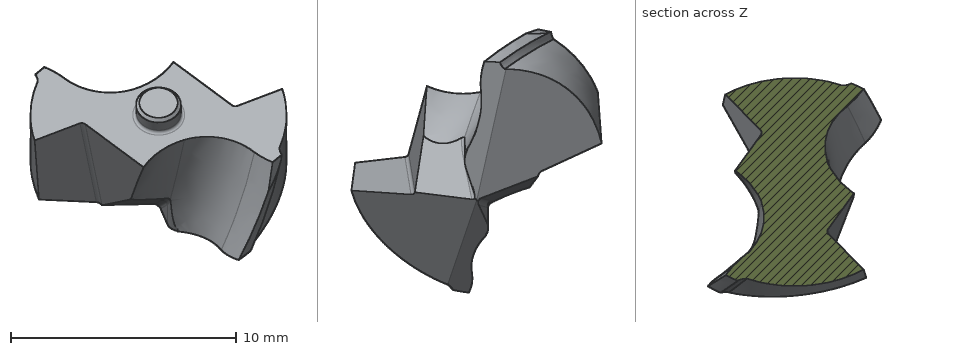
import cadquery as cq
import math


land_radius = 5.95
body_radius = 5.69
head_height = 6.38
land_helix_angle = 30.0
flute_helix_angle = 30.9
reach = 20.0

pin_radius = 1.0
pin_height = 0.84
pin_edge = 0.15

flute_back_end = (-1.75, 3.15)
flute_back_mid = (-1.47, 1.65)
flute_floor_start = (-1.81, 0.26)
flute_floor_mid = (-2.85, -0.90)
flute_floor_end = (-4.55, -1.37)
flute_lip_mid = (-5.05, -1.41)
flute_lip_end = (-5.75, -1.58)
flute_outer_x = -7.7

land_start_angle = -60.0
land_end_angle = 20.8
body_start_angle = 23.9
step_mid_angle = 22.6
step_mid_radius = 5.76

slot_offset = 2.63
slot_corner_x = -2.15
slot_wall_y_slope = 0.38
slot_wall_z_slope = -0.19
slot_floor_z_slope = -0.012
slot_fillet = 0.2

lip_slope = 0.356
primary_clearance = 0.09
secondary_clearance = 0.395

gash_back_normal = (-5.14, 4.56, 4.68)
gash_rake_angle = -31.6
gash_rake_length = 1.49
gash_round_radius = 1.0
gash_round_turn = 45.0
gash_fillet = 0.25

bevel_x = 5.54
bevel_slope = 0.29

tip = cq.Vector(0, 0, -head_height)


def polar(radius, angle):
    """Point at an angle measured from -X towards -Y."""
    turn = math.radians(angle)
    return (-radius * math.cos(turn), -radius * math.sin(turn))


def twist_down(outline, helix_angle):
    """Sweep a closed outline from the seating face down along a helix."""
    turn = head_height * math.tan(math.radians(helix_angle)) / land_radius
    return outline.twistExtrude(-head_height, math.degrees(turn))


def half_space(origin, normal):
    """Large block filling the side of a plane that the normal points to."""
    plane = cq.Plane(origin=origin, normal=normal)
    return cq.Workplane(plane).rect(4 * reach, 4 * reach).extrude(2 * reach)


def vee_cutter(corner, normal_a, normal_b, radius):
    """Notch tool with two flat walls whose normals point into the part."""
    normal_a = cq.Vector(*normal_a).normalized()
    normal_b = cq.Vector(*normal_b).normalized()
    groove = normal_a.cross(normal_b).normalized()
    along_a = normal_a.cross(groove)
    along_b = groove.cross(normal_b)
    corner = cq.Vector(*corner)
    end_a = along_a * reach
    end_b = along_b * reach
    start = corner - groove * reach
    outline = cq.Wire.makePolygon([start, start + end_a, start + end_b], close=True)
    prism = cq.Solid.extrudeLinear(outline, [], groove * (2 * reach))
    nearest = cq.selectors.NearestToPointSelector(corner.toTuple())
    return cq.Workplane(prism).edges(nearest).fillet(radius)


def cut_both_sides(body, cutter):
    """Remove a cutter and its copy turned half a turn about the axis."""
    opposite = cutter.rotate((0, 0, 0), (0, 0, 1), 180)
    return body.cut(cutter).cut(opposite)


def make_blank():
    """Twisted bar with a land, a concave step and a lower body in each half turn."""
    outline = cq.Workplane("XY").moveTo(*polar(land_radius, land_start_angle))
    for half_turn in (0, 180):
        land_start = land_start_angle + half_turn
        land_end = land_end_angle + half_turn
        body_start = body_start_angle + half_turn
        body_end = land_start + 180
        outline = (
            outline
            .threePointArc(
                polar(land_radius, (land_start + land_end) / 2),
                polar(land_radius, land_end),
            )
            .threePointArc(
                polar(step_mid_radius, step_mid_angle + half_turn),
                polar(body_radius, body_start),
            )
            .threePointArc(
                polar(body_radius, (body_start + body_end) / 2),
                polar(body_radius, body_end),
            )
        )
        if half_turn == 0:
            outline = outline.lineTo(*polar(land_radius, body_end))
    return twist_down(outline.close(), land_helix_angle)


def make_flute():
    """Helical tool that clears one flute, open towards -X."""
    outline = (
        cq.Workplane("XY")
        .moveTo(*flute_back_end)
        .threePointArc(flute_back_mid, flute_floor_start)
        .threePointArc(flute_floor_mid, flute_floor_end)
        .threePointArc(flute_lip_mid, flute_lip_end)
        .lineTo(flute_outer_x, flute_lip_end[1])
        .lineTo(flute_outer_x, flute_back_end[1])
        .close()
    )
    return twist_down(outline, flute_helix_angle)


def make_slot():
    """Driving slot on the -Y side."""
    corner = (slot_corner_x, -slot_offset, 0)
    back_normal = (0, 1, -slot_floor_z_slope)
    side_normal = (-1, slot_wall_y_slope, slot_wall_z_slope)
    return vee_cutter(corner, back_normal, side_normal, slot_fillet)


def make_gash():
    """Notch on the -Y side that thins the web beside the tip."""
    rake = math.radians(gash_rake_angle)

    def wall_point(turn):
        """Point of the rounded wall after turning away from the straight wall."""
        angle = math.radians(turn)
        along = gash_rake_length + gash_round_radius * math.sin(angle)
        across = gash_round_radius * (1 - math.cos(angle))
        return (
            along * math.cos(rake) - across * math.sin(rake),
            along * math.sin(rake) + across * math.cos(rake),
        )

    round_end = wall_point(gash_round_turn)
    wall_start = (-gash_rake_length * math.cos(rake), -gash_rake_length * math.sin(rake))
    block = (
        cq.Workplane("XY", origin=(0, 0, -2 * head_height))
        .moveTo(*wall_start)
        .lineTo(*wall_point(0))
        .threePointArc(wall_point(gash_round_turn / 2), round_end)
        .lineTo(round_end[0], -reach)
        .lineTo(wall_start[0], -reach)
        .close()
        .extrude(3 * head_height)
    )
    notch = block.cut(half_space(tip, gash_back_normal))
    seam_centre = cq.selectors.NearestToPointSelector(tip.toTuple())
    return notch.edges(seam_centre).fillet(gash_fillet)


def add_pin(body):
    """Centre pin with a chamfered top and a filleted root."""
    pin = cq.Workplane("XY").circle(pin_radius).extrude(pin_height)
    body = body.union(pin.faces(">Z").chamfer(pin_edge))
    root_zone = cq.selectors.BoxSelector(
        (-2 * pin_radius, -2 * pin_radius, -pin_edge / 2),
        (2 * pin_radius, 2 * pin_radius, pin_edge / 2),
    )
    return body.edges("%CIRCLE").edges(root_zone).fillet(pin_edge)


def make_flank(clearance):
    """Block below one point flank; the planes of all flanks pass through the tip."""
    return half_space(tip, (-lip_slope, -clearance, -1))


def make_bevel():
    return half_space((-bevel_x, 0, 0), (-1, 0, bevel_slope))


head = make_blank()
head = cut_both_sides(head, make_flank(primary_clearance))
head = cut_both_sides(head, make_flank(secondary_clearance))
head = cut_both_sides(head, make_bevel())
head = cut_both_sides(head, make_flute())
head = cut_both_sides(head, make_slot())
head = cut_both_sides(head, make_gash())

result = add_pin(head)